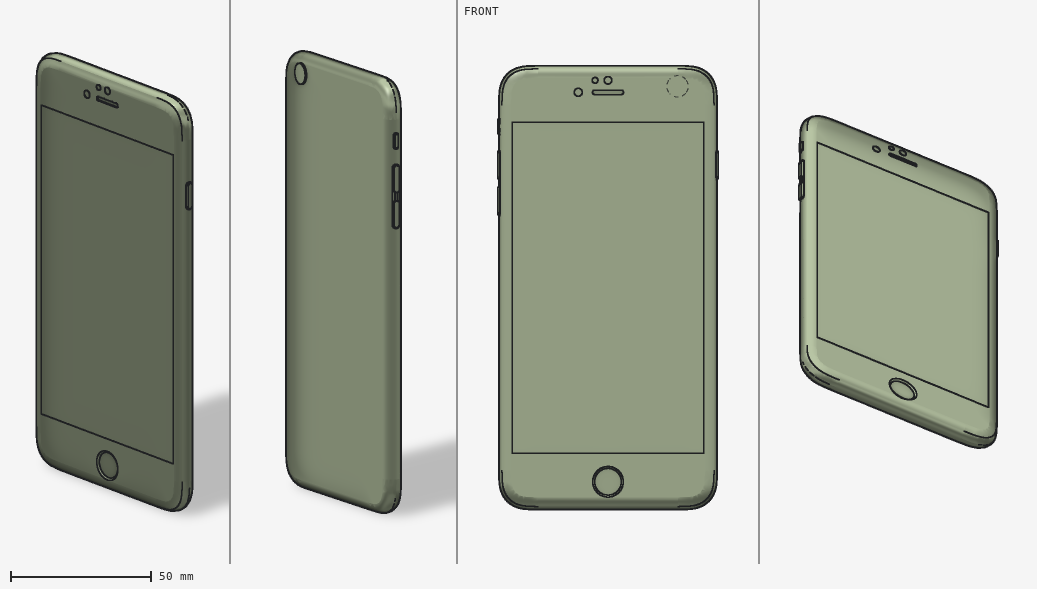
import cadquery as cq
import math

WIDTH = 77.8
HEIGHT = 158.0
THICKNESS = 7.1

HALF_THICKNESS = THICKNESS / 2
FRONT_Y = -HALF_THICKNESS
BACK_Y = HALF_THICKNESS

GLASS_THICKNESS = 1.0
FLAT_INSET = 4.5

CORNER_REACH = 9.5
CORNER_OUTER_CONTROL = 4.5
CORNER_INNER_CONTROL = 2.2

SENSOR_DEPTH = 0.2
SCREEN_DEPTH = 0.08
SCREEN_WIDTH = 68.3
SCREEN_HEIGHT = 117.8

SPEAKER_LENGTH = 11.0
SPEAKER_WIDTH = 1.6
SPEAKER_DEPTH = 0.6
SPEAKER_Z = 69.5

SENSOR_Z = 73.8
LIGHT_SENSOR_DIAMETER = 2.7
PROXIMITY_SENSOR_DIAMETER = 2.0
PROXIMITY_SENSOR_X = -4.6
FRONT_CAMERA_DIAMETER = 2.8
FRONT_CAMERA_X = -10.6

HOME_Z = -69.0
HOME_DIAMETER = 10.9
HOME_FLOOR_DIAMETER = 9.5
HOME_DEPTH = 0.6

CAMERA_DIAMETER = 7.6
CAMERA_HEIGHT = 0.6
CAMERA_X = 24.7
CAMERA_Z = 71.8

BUTTON_PROTRUSION = 0.4
POCKET_DEPTH = 0.5
BUTTON_GAP = 0.3
BUTTON_LENGTH = 9.8
BUTTON_WIDTH = 2.2
VOLUME_Z = 37.3
VOLUME_SPACING = 12.8
VOLUME_NECK_WIDTH = 1.0
POWER_Z = VOLUME_Z + VOLUME_SPACING / 2
MUTE_Z = 57.4
MUTE_LENGTH = 5.2
MUTE_WIDTH = 1.3

LEFT = -1
RIGHT = 1


def front_plane(y):
    """Sketch plane at the given Y: local x is X, local y is Z, and extruding goes toward -Y."""
    return cq.Workplane("XZ", origin=(0, y, 0))


def flat_outline(y):
    """Outline of the flat front, started at the middle of the bottom side."""
    half_width = WIDTH / 2 - FLAT_INSET
    half_height = HEIGHT / 2 - FLAT_INSET
    controls = (CORNER_REACH, CORNER_OUTER_CONTROL, CORNER_INNER_CONTROL)
    outline = front_plane(y).moveTo(0, -half_height)
    for side_x, side_z in ((1, -1), (1, 1), (-1, 1), (-1, -1)):
        corner_x = side_x * half_width
        corner_z = side_z * half_height
        on_level_edge = [(corner_x - side_x * distance, corner_z) for distance in controls]
        on_upright_edge = [(corner_x, corner_z - side_z * distance) for distance in controls]
        if side_x * side_z < 0:
            curve = on_level_edge + on_upright_edge[::-1]
        else:
            curve = on_upright_edge + on_level_edge[::-1]
        outline = outline.lineTo(*curve[0]).bezier(curve[1:], includeCurrent=True)
    return outline.close()


def make_body():
    """Flat core surrounded by a rim whose section is swept around the outline."""
    core = flat_outline(BACK_Y).extrude(THICKNESS)

    edge_z = -HEIGHT / 2
    flat_z = edge_z + FLAT_INSET
    round_center_z = edge_z + HALF_THICKNESS
    diagonal = HALF_THICKNESS * math.sqrt(0.5)

    seam_y = FRONT_Y + GLASS_THICKNESS
    seam_z = round_center_z - math.sqrt(HALF_THICKNESS**2 - seam_y**2)

    glass_reach = flat_z - seam_z
    glass_radius = (glass_reach**2 + GLASS_THICKNESS**2) / (2 * GLASS_THICKNESS)
    half_angle = math.asin(glass_reach / glass_radius) / 2
    glass_middle = (
        FRONT_Y + glass_radius * (1 - math.cos(half_angle)),
        flat_z - glass_radius * math.sin(half_angle),
    )

    front_angle = math.asin(seam_y / HALF_THICKNESS) / 2
    front_middle = (
        HALF_THICKNESS * math.sin(front_angle),
        round_center_z - HALF_THICKNESS * math.cos(front_angle),
    )

    section = (
        cq.Workplane("YZ")
        .moveTo(FRONT_Y, flat_z)
        .threePointArc(glass_middle, (seam_y, seam_z))
        .threePointArc(front_middle, (0, edge_z))
        .threePointArc((diagonal, round_center_z - diagonal), (BACK_Y, round_center_z))
        .lineTo(BACK_Y, flat_z)
        .close()
    )
    rim = section.sweep(flat_outline(0))
    return core.union(rim)


def front_hole(x, z, diameter):
    """Shallow round recess in the glass."""
    return front_plane(FRONT_Y + SENSOR_DEPTH).center(x, z).circle(diameter / 2).extrude(GLASS_THICKNESS)


def cut_front_details(body):
    screen = front_plane(FRONT_Y + SCREEN_DEPTH).rect(SCREEN_WIDTH, SCREEN_HEIGHT).extrude(GLASS_THICKNESS)
    speaker = (
        front_plane(FRONT_Y + SPEAKER_DEPTH)
        .center(0, SPEAKER_Z)
        .slot2D(SPEAKER_LENGTH, SPEAKER_WIDTH)
        .extrude(GLASS_THICKNESS)
    )
    home = (
        front_plane(FRONT_Y)
        .center(0, HOME_Z)
        .circle(HOME_DIAMETER / 2)
        .workplane(offset=-HOME_DEPTH)
        .circle(HOME_FLOOR_DIAMETER / 2)
        .loft()
    )
    body = body.cut(screen).cut(speaker).cut(home)
    body = body.cut(front_hole(0, SENSOR_Z, LIGHT_SENSOR_DIAMETER))
    body = body.cut(front_hole(PROXIMITY_SENSOR_X, SENSOR_Z, PROXIMITY_SENSOR_DIAMETER))
    return body.cut(front_hole(FRONT_CAMERA_X, SPEAKER_Z, FRONT_CAMERA_DIAMETER))


def add_rear_camera(body):
    camera = (
        front_plane(BACK_Y + CAMERA_HEIGHT)
        .center(CAMERA_X, CAMERA_Z)
        .circle(CAMERA_DIAMETER / 2)
        .extrude(CAMERA_HEIGHT + HALF_THICKNESS)
    )
    return body.union(camera)


def side_slot(side, z, length, width, inner_offset, outer_offset):
    """Round-ended bar along Z between two X offsets measured outward from the side face."""
    inner_x = side * (WIDTH / 2 + inner_offset)
    return (
        cq.Workplane("YZ", origin=(inner_x, 0, z))
        .slot2D(length, width, 90)
        .extrude(side * (outer_offset - inner_offset))
    )


def cut_pocket(body, side, z, length, width):
    pocket = side_slot(side, z, length + 2 * BUTTON_GAP, width + 2 * BUTTON_GAP, -POCKET_DEPTH, POCKET_DEPTH)
    return body.cut(pocket)


def add_button(body, side, z, length, width):
    return body.union(side_slot(side, z, length, width, -2 * POCKET_DEPTH, BUTTON_PROTRUSION))


def add_side_buttons(body):
    for side, z, length, width in (
        (LEFT, MUTE_Z, MUTE_LENGTH, MUTE_WIDTH),
        (RIGHT, POWER_Z, BUTTON_LENGTH, BUTTON_WIDTH),
    ):
        body = cut_pocket(body, side, z, length, width)
        body = add_button(body, side, z, length, width)

    body = cut_pocket(body, LEFT, VOLUME_Z, VOLUME_SPACING + BUTTON_LENGTH, BUTTON_WIDTH)
    body = body.union(side_slot(LEFT, VOLUME_Z, VOLUME_SPACING, VOLUME_NECK_WIDTH, -2 * POCKET_DEPTH, 0))
    for direction in (-1, 1):
        button_z = VOLUME_Z + direction * VOLUME_SPACING / 2
        body = add_button(body, LEFT, button_z, BUTTON_LENGTH, BUTTON_WIDTH)
    return body


result = add_side_buttons(add_rear_camera(cut_front_details(make_body())))